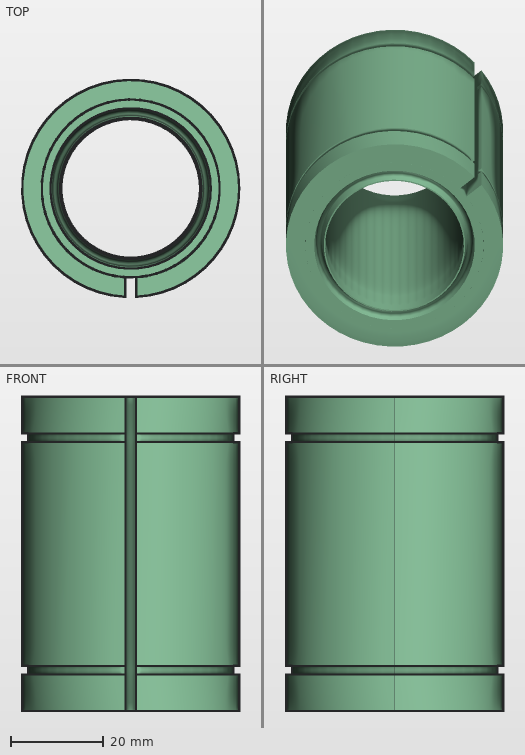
import cadquery as cq
import math

length = 68.0
outer_radius = 23.5
liner_radius = 19.25
bore_radius = 15.0

slot_width = 2.35
ring_groove_radius = 22.25
ring_groove_width = 1.85
ring_groove_span = 52.1

cutter_radius = outer_radius + 1

lip_thickness = 0.3
groove_outer_radius = 17.35
flank_depth = 2.9
flank_taper = math.radians(10)


def make_sleeve():
    """Outer sleeve with two retaining ring grooves and a full-length slot."""
    sleeve = cq.Workplane("XY").circle(outer_radius).circle(liner_radius).extrude(length)
    end_land = (length - ring_groove_span) / 2
    for groove_base in (end_land, length - end_land - ring_groove_width):
        ring = (
            cq.Workplane("XY", origin=(0, 0, groove_base))
            .circle(cutter_radius)
            .circle(ring_groove_radius)
            .extrude(ring_groove_width)
        )
        sleeve = sleeve.cut(ring)
    slot = cq.Workplane("XY").box(slot_width, cutter_radius, length, centered=(True, False, False))
    return sleeve.cut(slot.translate((0, -cutter_radius, 0)))


def make_seal_groove():
    """Ring-shaped cutter with tapered flanks and a round floor, for the top end face."""
    mouth_inner = bore_radius + lip_thickness
    mid_radius = (groove_outer_radius + mouth_inner) / 2
    flank_inset = flank_depth * math.tan(flank_taper)
    floor_inner = mouth_inner + flank_inset
    floor_outer = groove_outer_radius - flank_inset
    half_floor = (floor_outer - floor_inner) / 2
    floor_drop = half_floor * (1 - math.sin(flank_taper)) / math.cos(flank_taper)
    flank_end = length - flank_depth
    return (
        cq.Workplane("XZ")
        .moveTo(mouth_inner, length)
        .lineTo(floor_inner, flank_end)
        .threePointArc((mid_radius, flank_end - floor_drop), (floor_outer, flank_end))
        .lineTo(groove_outer_radius, length)
        .close()
        .revolve(360, (0, 0, 0), (0, 1, 0))
    )


def make_liner():
    """Inner tube with the same seal groove in both end faces."""
    liner = cq.Workplane("XY").circle(liner_radius).circle(bore_radius).extrude(length)
    top_groove = make_seal_groove()
    bottom_groove = top_groove.mirror("XY", (0, 0, length / 2))
    return liner.cut(top_groove).cut(bottom_groove)


sleeve = make_sleeve()
liner = make_liner()

result = cq.Compound.makeCompound([sleeve.solids().val(), liner.solids().val()])